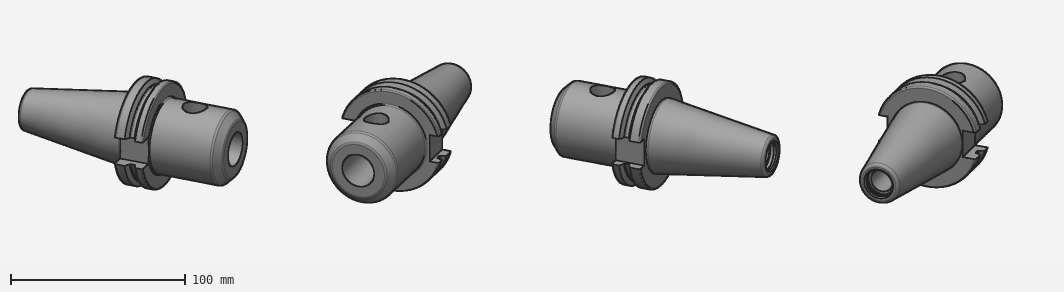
import cadquery as cq
import math

length = 131.8
cut_margin = 1.3

gauge_dia = 44.4
gauge_x = 68.1
taper_rate = 7 / 24
shank_end_dia = gauge_dia - taper_rate * gauge_x
shank_end_round = 2.0

flange_dia = 63.4
flange_start = 69.3
flange_end = 87.1
flange_front_round = 1.0
flange_back_round = 0.8
groove_center_x = 79.2
groove_mouth_width = 6.7
groove_flank_angle = 30.0
channel_width = 3.3
channel_floor_dia = 56.1
channel_corner_round = 0.5

slot_width = 16.7
slot_floor_plus_y = 24.8
slot_floor_minus_y = 22.4

body_dia = 44.7
body_root_round = 0.8
end_chamfer = 5.1
end_chamfer_round = 2.0

through_dia = 13.5
tool_bore_dia = 20.0
tool_bore_depth = 50.0
mouth_dia = 18.2
entry_dia = 16.3
relief_dia = 16.9
relief_start = 2.5
relief_end = 4.7

screw_hole_dia = 14.4
screw_hole_x = 106.3


def cylinder_x(diameter, start, end):
    """Cylinder on the X axis between two stations."""
    return cq.Workplane("YZ", origin=(start, 0, 0)).circle(diameter / 2).extrude(end - start)


def revolve_x(points):
    """Solid of revolution about the X axis from (x, radius) points."""
    return cq.Workplane("XY").polyline(points).close().revolve(360, (0, 0, 0), (1, 0, 0))


def make_shank():
    shank = revolve_x([
        (0, 0),
        (0, shank_end_dia / 2),
        (gauge_x, gauge_dia / 2),
        (flange_start, gauge_dia / 2),
        (flange_start, 0),
    ])
    return shank.faces("<X").edges().fillet(shank_end_round)


def make_groove():
    half_mouth = groove_mouth_width / 2
    half_channel = channel_width / 2
    rim_radius = flange_dia / 2
    flank_depth = (half_mouth - half_channel) / math.tan(math.radians(groove_flank_angle))
    flank_end_radius = rim_radius - flank_depth
    outer_radius = rim_radius + cut_margin
    floor_radius = channel_floor_dia / 2
    groove = revolve_x([
        (groove_center_x - half_channel, floor_radius),
        (groove_center_x + half_channel, floor_radius),
        (groove_center_x + half_channel, flank_end_radius),
        (groove_center_x + half_mouth, rim_radius),
        (groove_center_x + half_mouth, outer_radius),
        (groove_center_x - half_mouth, outer_radius),
        (groove_center_x - half_mouth, rim_radius),
        (groove_center_x - half_channel, flank_end_radius),
    ])
    return groove.edges(cq.selectors.RadiusNthSelector(0)).fillet(channel_corner_round)


def make_flange():
    flange = cylinder_x(flange_dia, flange_start, flange_end)
    flange = flange.faces("<X").edges().fillet(flange_front_round)
    flange = flange.faces(">X").edges().fillet(flange_back_round)
    return flange.cut(make_groove())


def make_body():
    body = cylinder_x(body_dia, flange_end, length).faces(">X").chamfer(end_chamfer)
    chamfer_edges = cq.selectors.BoxSelector(
        (length - end_chamfer - cut_margin, -body_dia, -body_dia),
        (length + cut_margin, body_dia, body_dia),
    )
    return body.edges("%CIRCLE").edges(chamfer_edges).fillet(end_chamfer_round)


def make_root_fillet():
    """Concave ring blending the body into the flange face."""
    radius = body_dia / 2
    outer = radius + body_root_round
    inset = body_root_round * (1 - math.sqrt(0.5))
    profile = (
        cq.Workplane("XY")
        .moveTo(flange_end, 0)
        .lineTo(flange_end, outer)
        .threePointArc((flange_end + inset, radius + inset), (flange_end + body_root_round, radius))
        .lineTo(flange_end + body_root_round, 0)
        .close()
    )
    return profile.revolve(360, (0, 0, 0), (1, 0, 0))


def make_drive_slot(floor_distance, side):
    """Slot open to +Y (side = 1) or -Y (side = -1), across the full flange width."""
    slot_depth = flange_dia / 2 + cut_margin - floor_distance
    slot_length = flange_end - flange_start + 2 * cut_margin
    slot_center_x = (flange_start + flange_end) / 2
    slot_center_y = side * (floor_distance + slot_depth / 2)
    return cq.Workplane("XY").box(slot_length, slot_depth, slot_width).translate(
        (slot_center_x, slot_center_y, 0)
    )


def make_bores():
    """Relieved shank-end bore, through hole and tool bore."""
    lead_in = (mouth_dia - entry_dia) / 2
    shank_bore = revolve_x([
        (0, 0),
        (0, mouth_dia / 2),
        (lead_in, entry_dia / 2),
        (relief_start, entry_dia / 2),
        (relief_start, relief_dia / 2),
        (relief_end, relief_dia / 2),
        (relief_end, 0),
    ])
    through = cylinder_x(through_dia, 0, length)
    tool_bore = cylinder_x(tool_bore_dia, length - tool_bore_depth, length)
    return shank_bore.union(through).union(tool_bore)


screw_hole = cq.Workplane("XY").center(screw_hole_x, 0).circle(screw_hole_dia / 2).extrude(body_dia)

result = make_shank().union(make_flange()).union(make_body()).union(make_root_fillet())
result = result.cut(make_drive_slot(slot_floor_plus_y, 1))
result = result.cut(make_drive_slot(slot_floor_minus_y, -1))
result = result.cut(make_bores()).cut(screw_hole)